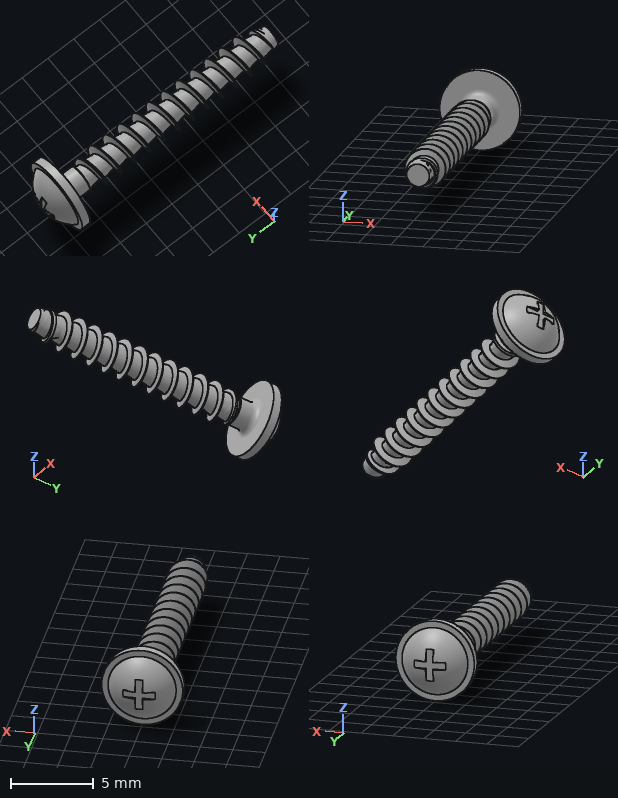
import cadquery as cq
import math

screw_length = 16.0
shank_length = 1.28
thread_top = screw_length - shank_length

flange_radius = 2.5
flange_thickness = 0.6
dome_radius = 2.1
dome_height = 1.17
slot_width = 0.46
slot_depth = 0.21

shank_radius = 0.9
fillet_radius = 0.4

pitch = 1.12
crest_diameter = 2.5
crest_radius = crest_diameter / 2
root_radius = 0.85
core_radius = 0.73
crest_half_width = 0.027
flank_half_width = 0.133
root_taper_length = 0.75
embed_depth = 0.009
crest_height = 0.83

tip_crest_radius = 0.71
tip_fade_slope = 0.32
head_crest_radius = 0.98
head_fade_slope = 0.25


def make_head_and_shank():
    """Revolved dome, flange, fillet and plain shank, around Z."""
    flange_top = screw_length + flange_thickness
    apex = flange_top + dome_height
    sphere_radius = (dome_radius**2 + dome_height**2) / (2 * dome_height)
    half_angle = math.asin(dome_radius / sphere_radius) / 2
    arc_middle = (
        sphere_radius * math.sin(half_angle),
        apex - sphere_radius * (1 - math.cos(half_angle)),
    )
    fillet_middle = (
        shank_radius + fillet_radius * (1 - math.sqrt(0.5)),
        screw_length - fillet_radius * (1 - math.sqrt(0.5)),
    )
    body = (
        cq.Workplane("XZ")
        .moveTo(0, thread_top)
        .lineTo(shank_radius, thread_top)
        .lineTo(shank_radius, screw_length - fillet_radius)
        .threePointArc(fillet_middle, (shank_radius + fillet_radius, screw_length))
        .lineTo(flange_radius, screw_length)
        .lineTo(flange_radius, flange_top)
        .lineTo(dome_radius, flange_top)
        .threePointArc(arc_middle, (0, apex))
        .close()
        .revolve(360, (0, 0), (0, 1))
    )
    slot = cq.Workplane("XY", origin=(0, 0, apex - slot_depth)).rect(2 * flange_radius, slot_width)
    slot_bar = slot.extrude(2 * slot_depth)
    return body.cut(slot_bar).cut(slot_bar.rotate((0, 0, 0), (0, 0, 1), 90))


def make_ridge():
    """Right-handed helical ridge: a symmetric thread with a tapered root on its tipward side."""
    start = crest_height - pitch
    turns = math.ceil((thread_top - start) / pitch) + 1
    helix = cq.Wire.makeHelix(pitch, turns * pitch, core_radius, cq.Vector(0, 0, start))
    inner_radius = core_radius - embed_depth
    flank_slope = (flank_half_width - crest_half_width) / (crest_radius - root_radius)
    inner_half_width = flank_half_width + flank_slope * (root_radius - inner_radius)
    root_slope = (root_radius - core_radius) / root_taper_length
    root_end = start - flank_half_width - (root_radius - inner_radius) / root_slope
    profile = cq.Workplane("XZ").polyline([
        (inner_radius, start + inner_half_width),
        (crest_radius, start + crest_half_width),
        (crest_radius, start - crest_half_width),
        (root_radius, start - flank_half_width),
        (inner_radius, root_end),
    ]).close()
    return profile.sweep(cq.Workplane(helix), isFrenet=True)


def make_thread_envelope():
    """Revolved limit of the thread: cones fade the crest out at the tip and below the shank."""
    envelope_radius = 2 * crest_radius
    tip_cone_height = (envelope_radius - tip_crest_radius) / tip_fade_slope
    head_cone_height = (envelope_radius - head_crest_radius) / head_fade_slope
    return (
        cq.Workplane("XZ")
        .polyline([
            (0, 0),
            (tip_crest_radius, 0),
            (envelope_radius, tip_cone_height),
            (envelope_radius, thread_top - head_cone_height),
            (head_crest_radius, thread_top),
            (0, thread_top),
        ])
        .close()
        .revolve(360, (0, 0), (0, 1))
    )


core_overrun = 3 * pitch
core_bar = cq.Workplane("XY").circle(core_radius).extrude(thread_top + 2 * core_overrun)
core = core_bar.translate((0, 0, -core_overrun))
threaded_rod = core.union(make_ridge(), clean=False).intersect(make_thread_envelope(), clean=False)
screw = make_head_and_shank().union(threaded_rod, clean=False)

result = screw.rotate((0, 0, 0), (1, 0, 0), -90).translate((0, -screw_length, 0))